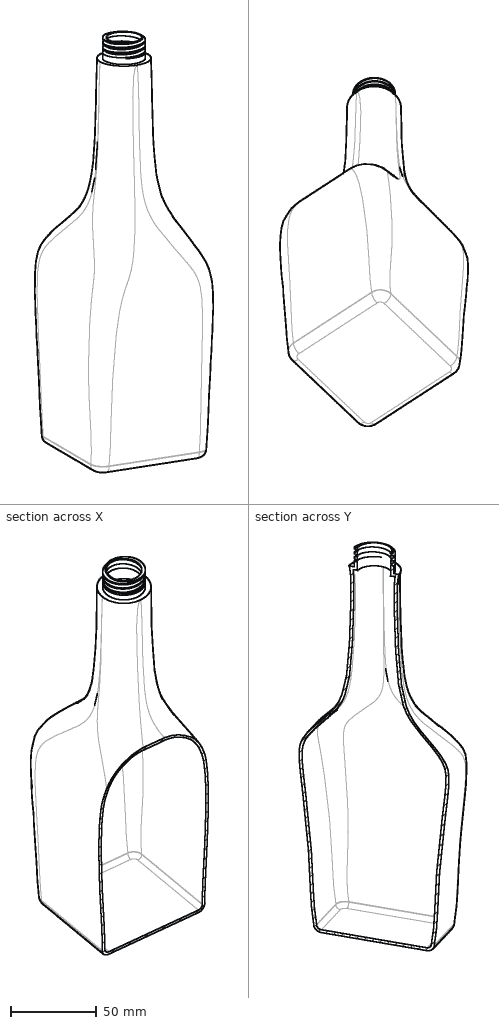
import cadquery as cq
import math

TOTAL_HEIGHT = 254.0
MOUTH_HEIGHT = 12.7
COLLAR_HEIGHT = 3.5
SHOULDER_Z = TOTAL_HEIGHT - MOUTH_HEIGHT
COLLAR_TOP_Z = SHOULDER_Z + COLLAR_HEIGHT

MOUTH_DIAMETER = 25.21
BORE_DIAMETER = 20.83
THREAD_ROOT_DIAMETER = 21.62
THREAD_PITCH = 3.175
GROOVE_WIDTH = 2.4
GROOVE_START_Z = 242.2
GROOVE_START_ANGLE = 180.0
GROOVE_OVERRUN = 0.3

WALL = (MOUTH_DIAMETER - BORE_DIAMETER) / 2
NECK_RADIUS = 15.875
BELLY_HALF_WIDTH = 47.61
BELLY_HALF_DEPTH = 80.63 / 2
BASE_HALF_WIDTH = 38.4
BASE_HALF_DEPTH = 37.8
BASE_HEIGHT = 5.4
BASE_FILLET = 5.0
BASE_CORNER_RADIUS = 8.0
MIN_FLAT = 0.15

STATIONS = [
    (BASE_HEIGHT, BASE_HALF_WIDTH, BASE_HALF_DEPTH, BASE_CORNER_RADIUS),
    (40.0, 41.0, 39.1, 9.5),
    (82.0, 44.5, BELLY_HALF_DEPTH, 11.5),
    (112.0, BELLY_HALF_WIDTH, 38.7, 13.5),
    (125.7, 44.2, 34.2, 16.0),
    (138.0, 33.5, 28.5, 18.0),
    (150.0, 23.6, 23.5, 18.5),
    (168.0, 17.8, 19.4, 17.0),
    (205.0, 15.1, 17.0, 15.1 - MIN_FLAT),
    (SHOULDER_Z, NECK_RADIUS, NECK_RADIUS, NECK_RADIUS - MIN_FLAT),
]


def section(z, half_width, half_depth, radius):
    """Closed rounded rectangle at height z."""
    flat_x = half_width - radius
    flat_y = half_depth - radius
    mid_x = flat_x + radius * math.sqrt(0.5)
    mid_y = flat_y + radius * math.sqrt(0.5)
    return (
        cq.Workplane("XY", origin=(0, 0, z))
        .moveTo(-flat_x, -half_depth)
        .lineTo(flat_x, -half_depth)
        .threePointArc((mid_x, -mid_y), (half_width, -flat_y))
        .lineTo(half_width, flat_y)
        .threePointArc((mid_x, mid_y), (flat_x, half_depth))
        .lineTo(-flat_x, half_depth)
        .threePointArc((-mid_x, mid_y), (-half_width, flat_y))
        .lineTo(-half_width, -flat_y)
        .threePointArc((-mid_x, -mid_y), (-flat_x, -half_depth))
        .close()
        .val()
    )


def cylinder(diameter, bottom, top):
    return cq.Workplane("XY", origin=(0, 0, bottom)).circle(diameter / 2).extrude(top - bottom)


def base(inset):
    """Straight foot of the bottle with a rounded lower edge, moved inward by inset."""
    return (
        cq.Workplane("XY", origin=(0, 0, inset))
        .rect(2 * (BASE_HALF_WIDTH - inset), 2 * (BASE_HALF_DEPTH - inset))
        .extrude(BASE_HEIGHT - inset)
        .edges("|Z")
        .fillet(BASE_CORNER_RADIUS - inset)
        .faces("<Z")
        .edges()
        .fillet(BASE_FILLET - inset)
    )


def body(inset):
    """Foot and lofted body with every section moved inward by inset."""
    wires = [
        section(z, half_width - inset, half_depth - inset, radius - inset)
        for z, half_width, half_depth, radius in STATIONS
    ]
    upper = cq.occ_impl.shapes.loft(*wires, cap=True, continuity="C2", parametrization="uniform")
    return base(inset).union(cq.Workplane(obj=upper))


def thread_groove():
    """Right-hand V groove around the mouth, running out through the rim."""
    root = THREAD_ROOT_DIAMETER / 2
    crest = MOUTH_DIAMETER / 2
    outer = crest + GROOVE_OVERRUN
    half_opening = GROOVE_WIDTH / 2 * (outer - root) / (crest - root)
    height = TOTAL_HEIGHT + THREAD_PITCH - GROOVE_START_Z
    helix = cq.Wire.makeHelix(THREAD_PITCH, height, root)
    return (
        cq.Workplane("XZ")
        .polyline([(root, 0), (outer, -half_opening), (outer, half_opening)])
        .close()
        .sweep(cq.Workplane(obj=helix), isFrenet=True)
        .rotate((0, 0, 0), (0, 0, 1), GROOVE_START_ANGLE)
        .translate((0, 0, GROOVE_START_Z))
    )


def mouth():
    """Threaded tube standing on a plain collar of the same diameter."""
    threaded = cylinder(MOUTH_DIAMETER, COLLAR_TOP_Z, TOTAL_HEIGHT).cut(thread_groove())
    collar = cylinder(MOUTH_DIAMETER, SHOULDER_Z, COLLAR_TOP_Z)
    return collar.union(threaded)


def cavity():
    """Interior of the bottle, closed at the top by the neck shoulder."""
    shoulder_underside = SHOULDER_Z - WALL
    below_shoulder = cq.Workplane("XY").box(
        2 * BELLY_HALF_WIDTH, 2 * BELLY_HALF_DEPTH, shoulder_underside, centered=(True, True, False)
    )
    bore = cylinder(BORE_DIAMETER, shoulder_underside - WALL, TOTAL_HEIGHT)
    return body(WALL).intersect(below_shoulder).union(bore)


result = body(0).union(mouth()).cut(cavity()).solids()